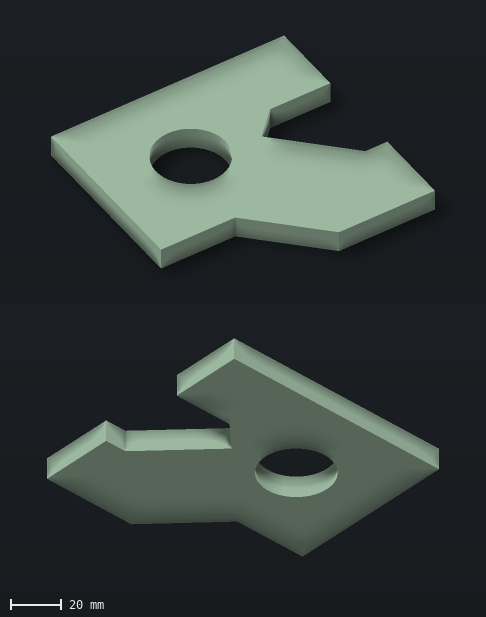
import cadquery as cq
import math

LENGTH_Y = 110.0
WIDTH_X = 109.7
THICKNESS = 10.0
FOOT_WIDTH = 80.0
SLOPE_START_Y = 35.0

NOTCH_LEFT_X = 33.7
NOTCH_TIP_X = 45.3
NOTCH_TIP_Y = 70.0

OPENING_DIAMETER = 32.8
OPENING_CENTER = FOOT_WIDTH / 2
SCREW_SPACING = 31.0

ROD_INSET = 10.0
NUT_INSET = 9.8
ROD_DIAMETER = 3.8
BACK_ROD_X = 100.0
NUT_WIDTH = 7.3
NUT_LENGTH = 4.0
SIDE_SCREW_DIAMETER = 2.9
BAR_WIDTH = 6.4
BAR_HEIGHT = ROD_DIAMETER

MID_Z = THICKNESS / 2
SLOPE_RUN = WIDTH_X - FOOT_WIDTH
NOTCH_LEFT_Y = NOTCH_TIP_Y + NOTCH_TIP_X - NOTCH_LEFT_X
LEFT_ROD_X = ROD_INSET
FRONT_ROD_X = FOOT_WIDTH - ROD_INSET
FRONT_NUT_Y = NUT_INSET
BACK_NUT_Y = LENGTH_Y - NUT_INSET
SHORT_ROD_LENGTH = NUT_INSET + NUT_LENGTH / 2
SLOPE_MID_X = FOOT_WIDTH + SLOPE_RUN / 2
SLOPE_MID_Y = SLOPE_START_Y + SLOPE_RUN / 2

BAR_LENGTH = (NOTCH_TIP_Y - NOTCH_TIP_X - SLOPE_START_Y + FOOT_WIDTH) / math.sqrt(2)


def rod_along_y(x, start_y, length):
    """Round rod at mid thickness that runs toward +Y."""
    start = cq.Vector(x, start_y, MID_Z)
    return cq.Workplane(cq.Solid.makeCylinder(ROD_DIAMETER / 2, length, start, cq.Vector(0, 1, 0)))


def nut(x, y):
    """Rectangular nut that fills its slot through the plate thickness."""
    return cq.Workplane().box(NUT_WIDTH, NUT_LENGTH, THICKNESS).translate((x, y, MID_Z))


def side_screw(y):
    """Thin screw from the -X edge to the axis of the long rod."""
    start = cq.Vector(0, y, MID_Z)
    direction = cq.Vector(1, 0, 0)
    return cq.Workplane(cq.Solid.makeCylinder(SIDE_SCREW_DIAMETER / 2, LEFT_ROD_X, start, direction))


def make_tie_rod():
    """Long rod across the whole plate, with a nut at each end and two side screws."""
    body = rod_along_y(LEFT_ROD_X, 0, LENGTH_Y)
    for y in (FRONT_NUT_Y, BACK_NUT_Y):
        body = body.union(nut(LEFT_ROD_X, y))
    for side in (-1, 1):
        body = body.union(side_screw(OPENING_CENTER + side * SCREW_SPACING / 2))
    return body


def make_front_bolt():
    """Short rod from the front edge to the far side of its nut."""
    rod = rod_along_y(FRONT_ROD_X, 0, SHORT_ROD_LENGTH)
    return rod.union(nut(FRONT_ROD_X, FRONT_NUT_Y))


def make_back_bolt():
    """Short rod from the back edge to the far side of its nut."""
    rod = rod_along_y(BACK_ROD_X, LENGTH_Y - SHORT_ROD_LENGTH, SHORT_ROD_LENGTH)
    return rod.union(nut(BACK_ROD_X, BACK_NUT_Y))


def make_slope_bar(side):
    """Rectangular bar square to the slope, reaching the notch flank."""
    slope_plane = cq.Plane(
        origin=(SLOPE_MID_X, SLOPE_MID_Y, MID_Z),
        xDir=(1, 1, 0),
        normal=(-1, 1, 0),
    )
    profile = cq.Workplane(slope_plane).center(side * SCREW_SPACING / 2, 0).rect(BAR_WIDTH, BAR_HEIGHT)
    return profile.extrude(BAR_LENGTH)


def make_plate(inserts):
    """Plate with the V notch, the round opening and a matching hole for every insert."""
    outline = [
        (0, 0),
        (FOOT_WIDTH, 0),
        (FOOT_WIDTH, SLOPE_START_Y),
        (WIDTH_X, SLOPE_START_Y + SLOPE_RUN),
        (WIDTH_X, LENGTH_Y),
        (NOTCH_TIP_X + SLOPE_RUN, LENGTH_Y),
        (NOTCH_TIP_X + SLOPE_RUN, NOTCH_TIP_Y + SLOPE_RUN),
        (NOTCH_TIP_X, NOTCH_TIP_Y),
        (NOTCH_LEFT_X, NOTCH_LEFT_Y),
        (NOTCH_LEFT_X, LENGTH_Y),
        (0, LENGTH_Y),
    ]
    body = cq.Workplane().polyline(outline).close().extrude(THICKNESS)
    opening = (
        cq.Workplane()
        .center(OPENING_CENTER, OPENING_CENTER)
        .circle(OPENING_DIAMETER / 2)
        .extrude(THICKNESS)
    )
    body = body.cut(opening)
    for insert in inserts:
        body = body.cut(insert)
    return body


tie_rod = make_tie_rod()
front_bolt = make_front_bolt()
back_bolt = make_back_bolt()
slope_bars = [make_slope_bar(side) for side in (-1, 1)]
plate = make_plate([tie_rod, front_bolt, back_bolt, *slope_bars])

result = cq.Compound.makeCompound([
    plate.solids().val(),
    tie_rod.solids().val(),
    front_bolt.solids().val(),
    back_bolt.solids().val(),
    *[bar.val() for bar in slope_bars],
])